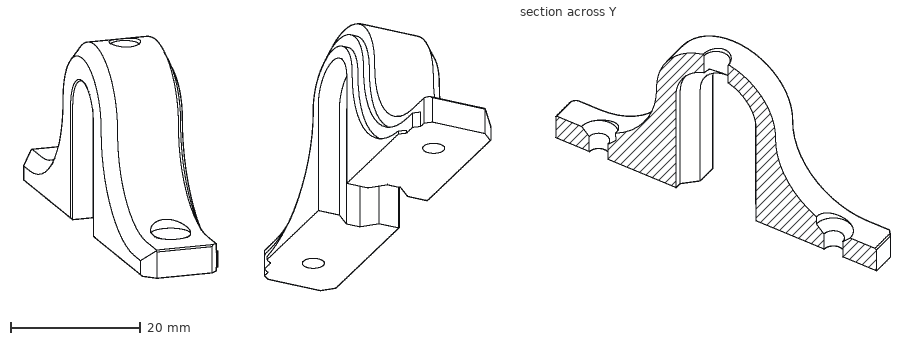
import cadquery as cq
import math

length = 59.07
height = 29.5
arch_radius = 11.0
foot_height = 4.5
foot_arc_center_x = 24.65

body_depth = 12.0
step_depth = 1.0
step_inset = 2.0
step_end_insets = (2.1, 5.1)

front_chamfer = 2.0
corner_chamfer_length = 0.85
corner_chamfer_depth = 1.0
small_chamfer = 0.25
back_edge_radial = 0.1
back_edge_depth = 0.35

slot_half_width = 5.1
groove_half_width = 7.35
groove_floor_width = 2.3

hole_y = 7.0
top_hole_diameter = 4.4
top_hole_break_width = 0.25
top_hole_break_depth = 0.5
screw_hole_x = 21.6
screw_hole_diameter = 3.4
screw_head_diameter = 6.2

overcut = 1.0

half_length = length / 2
arch_center_z = height - arch_radius
lift = arch_center_z - foot_height
foot_arc_radius = (foot_arc_center_x**2 + lift**2 - arch_radius**2) / (2 * (arch_radius + lift))
foot_arc_center_z = foot_height + foot_arc_radius
screw_head_seat_z = foot_height


def outline(inset, end_inset, y):
    """Closed bell outline at depth y, moved inward by inset and shortened at both ends."""
    radius = arch_radius - inset
    foot_radius = foot_arc_radius + inset
    foot_top = foot_height - inset
    end_x = half_length - end_inset
    slope = math.atan2(foot_arc_center_z - arch_center_z, foot_arc_center_x)
    join_x = radius * math.cos(slope)
    join_z = arch_center_z + radius * math.sin(slope)

    arc_end_x = min(foot_arc_center_x, end_x)

    def foot_arc_z(x):
        return foot_arc_center_z - math.sqrt(foot_radius**2 - (foot_arc_center_x - x) ** 2)

    arc_end_z = foot_arc_z(arc_end_x)
    mid_x = foot_arc_center_x - foot_radius * math.sqrt(0.5)
    mid_z = foot_arc_z(mid_x)

    sketch = cq.Workplane("XZ", origin=(0, y, 0)).moveTo(-end_x, 0)
    if end_x > foot_arc_center_x:
        sketch = sketch.lineTo(-end_x, foot_top)
    sketch = sketch.lineTo(-arc_end_x, arc_end_z)
    sketch = sketch.threePointArc((-mid_x, mid_z), (-join_x, join_z))
    sketch = sketch.threePointArc((0, arch_center_z + radius), (join_x, join_z))
    sketch = sketch.threePointArc((mid_x, mid_z), (arc_end_x, arc_end_z))
    if end_x > foot_arc_center_x:
        sketch = sketch.lineTo(end_x, foot_top)
    return sketch.lineTo(end_x, 0).close()


def slab(inset, end_inset, y_start, y_end):
    """Bell outline extruded from y_start back to y_end."""
    return outline(inset, end_inset, y_start).extrude(y_start - y_end)


def bevel_ends(shape, end_x, y_back):
    """Cut the two upright back corners of a slab at an angle."""
    for side in (-1, 1):
        wedge = (
            cq.Workplane("XY")
            .moveTo(side * end_x, y_back - corner_chamfer_depth)
            .lineTo(side * (end_x - corner_chamfer_length), y_back)
            .lineTo(side * end_x, y_back)
            .close()
            .extrude(height)
        )
        shape = shape.cut(wedge)
    return shape


def main_body():
    """Bell-shaped block with a wide front chamfer and small edge breaks."""
    body = slab(0, 0, 0, body_depth)
    front_upper = cq.selectors.BoxSelector(
        (-half_length - overcut, -small_chamfer, small_chamfer),
        (half_length + overcut, small_chamfer, height + overcut),
    )
    body = body.edges(front_upper).chamfer(front_chamfer)
    body = body.faces("<Y").edges("<Z").chamfer(small_chamfer)
    rim = body.faces(">Y").edges("not (|Z or <Z)")
    body = rim.chamfer(back_edge_radial, back_edge_depth)
    for end in ("<X", ">X"):
        body = body.faces(end).edges(">Z").chamfer(small_chamfer)
    return bevel_ends(body, half_length, body_depth)


def back_steps():
    """Two thin slabs stacked on the back, each one smaller than the one before."""
    steps = cq.Workplane()
    for index, end_inset in enumerate(step_end_insets):
        y_start = body_depth + index * step_depth
        y_end = y_start + step_depth
        step = slab((index + 1) * step_inset, end_inset, y_start, y_end)
        steps = steps.add(bevel_ends(step, half_length - end_inset, y_end))
    return steps.combine()


def slot_shape(profile):
    """Sweep a closed (offset, y) profile along the slot: up both walls and around the arch."""
    legs = (
        cq.Workplane("XY", origin=(0, 0, -overcut))
        .polyline(profile)
        .close()
        .extrude(arch_center_z + overcut)
    )
    arch = (
        cq.Workplane("XY", origin=(0, 0, arch_center_z))
        .polyline(profile)
        .close()
        .revolve(180, (0, 0, 0), (0, -1, 0))
    )
    return legs.union(legs.mirror("YZ")).union(arch)


def slot_cutter():
    """Slot through the whole depth, with its front edge break and its inner groove."""
    full_depth = body_depth + len(step_end_insets) * step_depth
    groove_slope = groove_half_width - slot_half_width
    half_floor = groove_floor_width / 2
    half_mouth = half_floor + groove_slope
    groove = [
        (0, hole_y - half_mouth),
        (slot_half_width, hole_y - half_mouth),
        (groove_half_width, hole_y - half_floor),
        (groove_half_width, hole_y + half_floor),
        (slot_half_width, hole_y + half_mouth),
        (0, hole_y + half_mouth),
    ]
    edge_break = [
        (0, 0),
        (slot_half_width + small_chamfer, 0),
        (slot_half_width, small_chamfer),
        (0, small_chamfer),
    ]
    through = [
        (0, -overcut),
        (slot_half_width, -overcut),
        (slot_half_width, full_depth + overcut),
        (0, full_depth + overcut),
    ]
    return slot_shape(through).union(slot_shape(groove)).union(slot_shape(edge_break))


def revolved_hole(x, profile):
    """Turn an (r, z) profile about the vertical axis at x."""
    return (
        cq.Workplane("XZ", origin=(x, hole_y, 0))
        .polyline(profile)
        .close()
        .revolve(360, (0, 0, 0), (0, 1, 0))
    )


def screw_hole(x):
    """Countersunk through hole with head clearance up through the foot arc."""
    hole_radius = screw_hole_diameter / 2
    head_radius = screw_head_diameter / 2
    cone_depth = head_radius - hole_radius
    return revolved_hole(
        x,
        [
            (0, -overcut),
            (hole_radius, -overcut),
            (hole_radius, screw_head_seat_z - cone_depth),
            (head_radius, screw_head_seat_z),
            (head_radius, height),
            (0, height),
        ],
    )


def top_hole():
    """Radial hole through the crown of the arch with a broken outer edge."""
    radius = top_hole_diameter / 2
    return revolved_hole(
        0,
        [
            (0, arch_center_z),
            (radius, arch_center_z),
            (radius, height - top_hole_break_depth),
            (radius + top_hole_break_width, height),
            (0, height),
        ],
    )


result = main_body().union(back_steps()).cut(slot_cutter()).cut(top_hole())
for screw_x in (-screw_hole_x, screw_hole_x):
    result = result.cut(screw_hole(screw_x))